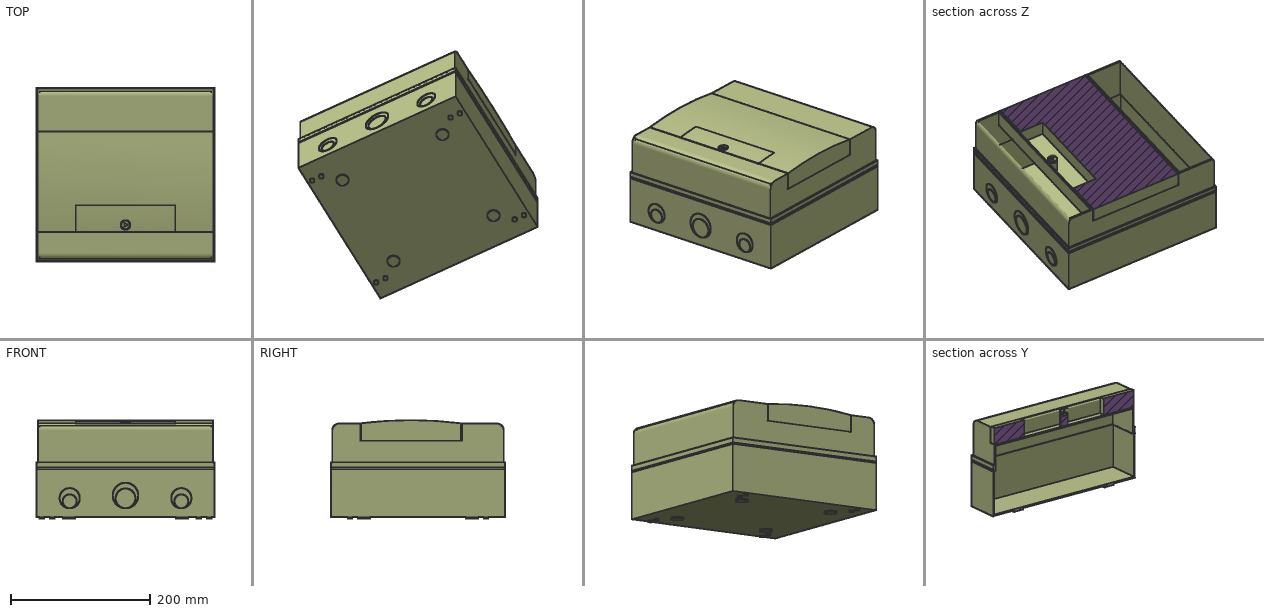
import cadquery as cq

BASE_X = 256.0
BASE_Y = 250.0
WALL = 3.0

FOOT_HEIGHT = 2.0
JOINT_Z = 71.2
COVER_TOP_Z = 136.7

TONGUE_INSET = 1.0
TONGUE_HEIGHT = 2.3
TONGUE_WIDTH = 1.0

RIM_HEIGHT = 9.5
COVER_X = 251.6
COVER_Y = 246.5
COVER_FILLET = 10.2

DOOR_MIN_Y = -81.7
DOOR_MAX_Y = 62.0
DOOR_BOTTOM_Z = 112.0
DOOR_EDGE_Z = 137.0
DOOR_RISE = 4.5
DOOR_GAP = 0.9
WINDOW_POCKET_X = 142.3
WINDOW_POCKET_Y = 37.6
WINDOW_THICKNESS = 1.0

LOCK_Y = -72.0
LOCK_DIAMETER = 12.0
LOCK_COLLAR_DIAMETER = 14.0
LOCK_FACE_Z = 131.0
LOCK_BOTTOM_Z = LOCK_FACE_Z - WALL
KEY_TOP_Z = 137.7
KEY_CIRCLE_DIAMETER = 7.0

ENTRY_LOW_Z = 14.5
ENTRY_GROOVE_WIDTH = 0.5
ENTRY_GROOVE_DEPTH = 0.5
SIDE_ENTRY_X = 80.0
SIDE_ENTRY_DIAMETERS = (29.5, 20.5)
MIDDLE_ENTRY_DIAMETERS = (37.0, 29.0)

SMALL_FOOT_DIAMETER = 7.0
SMALL_FOOT_XS = (105.2, 120.3)
SMALL_FOOT_Y = 97.5
LARGE_FOOT_DIAMETER = 18.0
LARGE_FOOT_X = 81.5
LARGE_FOOT_Y = 77.5

BOTH_SIDES = (-1, 1)


def block(size_x, size_y, bottom_z, top_z):
    """Box centred on the Z axis between two levels."""
    height = top_z - bottom_z
    return cq.Workplane("XY").workplane(offset=bottom_z).rect(size_x, size_y).extrude(height)


def block_in_y(size_x, min_y, max_y, bottom_z, top_z):
    """Box centred on X only, between two places along Y and two levels."""
    middle_y = (min_y + max_y) / 2
    return block(size_x, max_y - min_y, bottom_z, top_z).translate((0, middle_y, 0))


def lock_cylinder(diameter, bottom_z, top_z):
    """Cylinder on the lock axis between two levels."""
    return cq.Workplane("XY", origin=(0, LOCK_Y, bottom_z)).circle(diameter / 2).extrude(top_z - bottom_z)


def tongue():
    """Ring that stands on the base wall and locates the cover."""
    outer_x = BASE_X - 2 * TONGUE_INSET
    outer_y = BASE_Y - 2 * TONGUE_INSET
    top_z = JOINT_Z + TONGUE_HEIGHT
    ring = block(outer_x, outer_y, JOINT_Z, top_z)
    return ring.cut(block(outer_x - 2 * TONGUE_WIDTH, outer_y - 2 * TONGUE_WIDTH, JOINT_Z, top_z))


def cable_entry(x, diameters):
    """Ring grooves in the -Y wall that outline knock-outs, tangent at their lowest point."""
    grooves = cq.Workplane("XY")
    for diameter in diameters:
        groove = (
            cq.Workplane("XZ", origin=(x, -BASE_Y / 2, ENTRY_LOW_Z + diameter / 2))
            .circle(diameter / 2)
            .circle(diameter / 2 - ENTRY_GROOVE_WIDTH)
            .extrude(-ENTRY_GROOVE_DEPTH)
        )
        grooves = grooves.union(groove)
    return grooves


def feet(diameter, x, y):
    """Four round feet placed symmetrically under the base."""
    places = [(side_x * x, side_y * y) for side_x in BOTH_SIDES for side_y in BOTH_SIDES]
    return cq.Workplane("XY").pushPoints(places).circle(diameter / 2).extrude(FOOT_HEIGHT)


def make_base():
    """Open-topped box with locating tongue, knock-outs and feet."""
    base = block(BASE_X, BASE_Y, FOOT_HEIGHT, JOINT_Z)
    base = base.cut(block(BASE_X - 2 * WALL, BASE_Y - 2 * WALL, FOOT_HEIGHT + WALL, JOINT_Z))
    base = base.union(tongue())
    for side in BOTH_SIDES:
        base = base.cut(cable_entry(side * SIDE_ENTRY_X, SIDE_ENTRY_DIAMETERS))
    base = base.cut(cable_entry(0, MIDDLE_ENTRY_DIAMETERS))
    for x in SMALL_FOOT_XS:
        base = base.union(feet(SMALL_FOOT_DIAMETER, x, SMALL_FOOT_Y))
    return base.union(feet(LARGE_FOOT_DIAMETER, LARGE_FOOT_X, LARGE_FOOT_Y))


def door_notch(wall):
    """Space for the door and its gaps, grown by a wall thickness along Y and downwards."""
    margin = DOOR_GAP + wall
    return block_in_y(COVER_X, DOOR_MIN_Y - margin, DOOR_MAX_Y + margin, DOOR_BOTTOM_Z - wall, COVER_TOP_Z)


def make_cover():
    """Hollow lid with a rim, notched across its top for the door."""
    rim = block(BASE_X, BASE_Y, JOINT_Z, JOINT_Z + RIM_HEIGHT)
    lid = block(COVER_X, COVER_Y, JOINT_Z, COVER_TOP_Z).edges("|X and >Z").fillet(COVER_FILLET)
    cavity = block(COVER_X - 2 * WALL, COVER_Y - 2 * WALL, JOINT_Z, COVER_TOP_Z - WALL)
    cavity = cavity.cut(door_notch(WALL))
    return rim.union(lid).cut(cavity).cut(door_notch(0)).cut(tongue())


def door_block(length, drop):
    """Door outline extruded along X, with its arched top lowered by `drop`."""
    middle_y = (DOOR_MIN_Y + DOOR_MAX_Y) / 2
    edge_z = DOOR_EDGE_Z - drop
    return (
        cq.Workplane("YZ", origin=(-length / 2, 0, 0))
        .moveTo(DOOR_MIN_Y, DOOR_BOTTOM_Z)
        .lineTo(DOOR_MAX_Y, DOOR_BOTTOM_Z)
        .lineTo(DOOR_MAX_Y, edge_z)
        .threePointArc((middle_y, edge_z + DOOR_RISE), (DOOR_MIN_Y, edge_z))
        .close()
        .extrude(length)
    )


def window_pocket():
    """Pocket open to the door's underside and -Y edge: leaves a thin window and a collar round the lock."""
    limits = block_in_y(
        WINDOW_POCKET_X, DOOR_MIN_Y, DOOR_MIN_Y + WINDOW_POCKET_Y, DOOR_BOTTOM_Z, DOOR_EDGE_Z + DOOR_RISE
    )
    pocket = door_block(WINDOW_POCKET_X, WINDOW_THICKNESS).intersect(limits)
    return pocket.cut(lock_cylinder(LOCK_COLLAR_DIAMETER, DOOR_BOTTOM_Z, DOOR_EDGE_Z + DOOR_RISE))


def make_door():
    """Arched door with the window pocket and the well for the lock."""
    door = door_block(COVER_X, 0)
    well = lock_cylinder(LOCK_DIAMETER, LOCK_BOTTOM_Z, DOOR_EDGE_Z + DOOR_RISE)
    return door.cut(window_pocket()).cut(well)


def make_lock():
    """Disc at the bottom of its well, with a triangular key stud."""
    disc = lock_cylinder(LOCK_DIAMETER, LOCK_BOTTOM_Z, LOCK_FACE_Z)
    stud = (
        cq.Workplane("XY", origin=(0, LOCK_Y, LOCK_BOTTOM_Z))
        .polygon(3, KEY_CIRCLE_DIAMETER)
        .extrude(KEY_TOP_Z - LOCK_BOTTOM_Z)
    )
    return disc.union(stud)


base = make_base()
cover = make_cover()
door = make_door()
lock = make_lock()
result = cq.Compound.makeCompound([base.val(), cover.val(), door.val(), lock.val()])